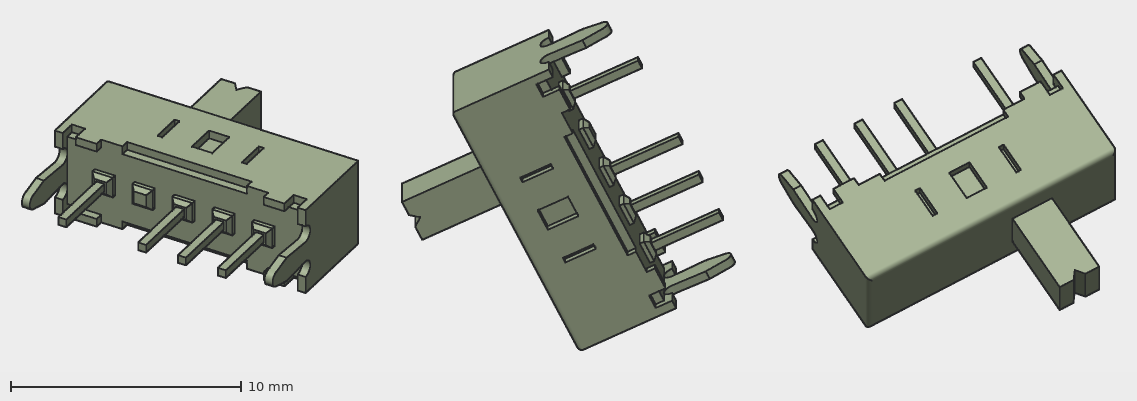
import cadquery as cq


cover_length = 12.6
cover_height = 4.3
cover_depth = 4.71
sheet = 0.4
front_fillet = 0.23
base_y = -4.32
recess_y = base_y + sheet

tab_outer_x = 5.24
tab_inner_x = 4.2
center_notch_length = 6.25

window_y = -2.08
window_depth_y = 1.47
window_width = 1.02
slot_width = 0.24
slot_x = 2.12

pitch = 2.0

knob_width = 2.0
knob_length = 4.0
knob_x = -pitch
vee_width = 0.6
vee_depth = 0.4

pin_size = 0.4
pin_end_y = -8.0
pin_positions = [-2, -1, 0, 1, 2]
blank_position = -1
boss_size = 1.02
boss_height = 0.4
boss_chamfer = boss_height / 2

relief_radius = 0.4
neck_half_width = 0.5
relief_z = neck_half_width + relief_radius
lug_half_width = 0.6
lug_widest_y = -6.34
lug_tip_start_y = -7.21
lug_tip_half_width = 0.38
lug_end_y = -7.56


def box(x_min, x_max, y_min, y_max, z_min, z_max):
    """Axis-aligned box between the given limits."""
    size = (x_max - x_min, y_max - y_min, z_max - z_min)
    return cq.Workplane("XY").box(*size, centered=False).translate((x_min, y_min, z_min))


def housing():
    """Solid block up to the base face, with its front edges rounded."""
    half_length = cover_length / 2
    half_height = cover_height / 2
    block = box(-half_length, half_length, base_y, 0, -half_height, half_height)
    return block.faces(">Y").edges().fillet(front_fillet)


def in_both_sheets(x, y_min, y_max, width):
    """Cutter through the top and bottom sheets, centred on x."""
    outer_z = cover_height / 2
    top = box(x - width / 2, x + width / 2, y_min, y_max, outer_z - sheet, outer_z)
    return top.union(top.mirror("XY"))


def on_both_ends(left):
    """The given left-end shape together with its mirror image at the right end."""
    return left.union(left.mirror("YZ"))


def edge_notches():
    """Long central notch and one notch beside each end sheet."""
    corner_outer_x = cover_length / 2 - sheet
    corner_width = corner_outer_x - tab_outer_x
    corner_x = (corner_outer_x + tab_outer_x) / 2
    center = in_both_sheets(0, base_y, recess_y, center_notch_length)
    left_corner = in_both_sheets(-corner_x, base_y, recess_y, corner_width)
    return center.union(on_both_ends(left_corner))


def edge_tabs():
    """Parts of the top and bottom sheets that stand beyond the base face."""
    tab_width = tab_outer_x - tab_inner_x
    tab_x = (tab_outer_x + tab_inner_x) / 2
    return on_both_ends(in_both_sheets(-tab_x, -cover_depth, base_y, tab_width))


def windows():
    """Central window and two narrow slots in the top and bottom sheets."""
    y_min = window_y - window_depth_y / 2
    y_max = window_y + window_depth_y / 2
    center = in_both_sheets(0, y_min, y_max, window_width)
    left_slot = in_both_sheets(-slot_x, y_min, y_max, slot_width)
    return center.union(on_both_ends(left_slot))


def knob():
    """Square knob with a vee groove across its end."""
    return (
        cq.Workplane("XY")
        .moveTo(knob_x - knob_width / 2, 0)
        .lineTo(knob_x - knob_width / 2, knob_length)
        .lineTo(knob_x - vee_width / 2, knob_length)
        .lineTo(knob_x, knob_length - vee_depth)
        .lineTo(knob_x + vee_width / 2, knob_length)
        .lineTo(knob_x + knob_width / 2, knob_length)
        .lineTo(knob_x + knob_width / 2, 0)
        .close()
        .extrude(knob_width / 2, both=True)
    )


def boss(x):
    """Square boss on the base face with chamfered outer edges."""
    half = boss_size / 2
    block = box(x - half, x + half, base_y - boss_height, base_y, -half, half)
    return block.faces("<Y").edges().chamfer(boss_chamfer)


def pin(x):
    """Straight square pin."""
    half = pin_size / 2
    return box(x - half, x + half, pin_end_y, base_y, -half, half)


def end_rims():
    """Parts of the end sheets that stand beyond the base face."""
    half_length = cover_length / 2
    half_height = cover_height / 2
    left = box(-half_length, -half_length + sheet, -cover_depth, base_y, -half_height, half_height)
    return on_both_ends(left)


def lugs():
    """Arrow-shaped lugs that swell, then narrow to a round tip."""
    left = (
        cq.Workplane("YZ", origin=(-cover_length / 2, 0, 0))
        .moveTo(-cover_depth, neck_half_width)
        .lineTo(lug_widest_y, lug_half_width)
        .lineTo(lug_tip_start_y, lug_tip_half_width)
        .threePointArc((lug_end_y, 0), (lug_tip_start_y, -lug_tip_half_width))
        .lineTo(lug_widest_y, -lug_half_width)
        .lineTo(-cover_depth, -neck_half_width)
        .close()
        .extrude(sheet)
    )
    return on_both_ends(left)


def reliefs():
    """Round cutters through the end sheets, on either side of each lug neck."""
    left = (
        cq.Workplane("YZ", origin=(-cover_length / 2, 0, 0))
        .pushPoints([(-cover_depth, relief_z), (-cover_depth, -relief_z)])
        .circle(relief_radius)
        .extrude(sheet)
    )
    inside = box(-cover_length, cover_length, -cover_depth, 0, -cover_height, cover_height)
    return on_both_ends(left).intersect(inside)


result = housing().cut(edge_notches()).cut(windows())
result = result.union(edge_tabs()).union(end_rims()).cut(reliefs())
result = result.union(lugs()).union(knob())

for position in pin_positions:
    pin_x = position * pitch
    result = result.union(boss(pin_x))
    if position != blank_position:
        result = result.union(pin(pin_x))